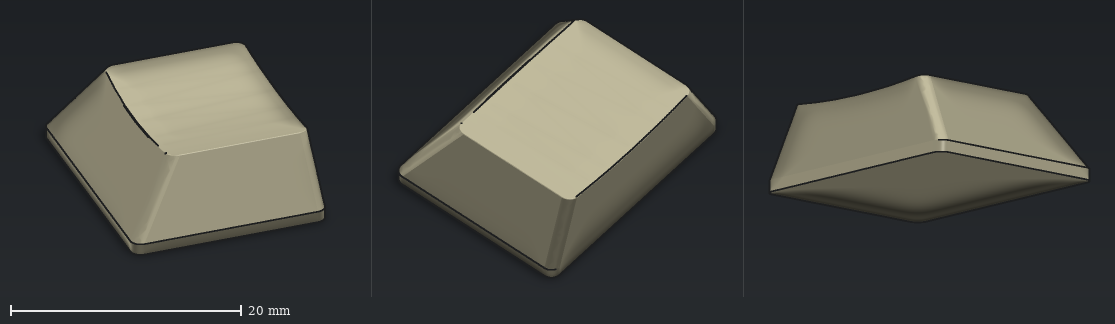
import cadquery as cq

base_width = 22.75
base_depth = 18.0
skirt_height = 1.07
corner_radius = 0.95

total_height = 7.49
side_inset = 3.03
front_inset = 4.45
back_inset = 0.55
top_width = base_width - 2 * side_inset
top_depth = base_depth - front_inset - back_inset
top_center_y = (front_inset - back_inset) / 2

dish_depth = 0.52
dish_radius = ((top_width / 2) ** 2 + dish_depth**2) / (2 * dish_depth)
rim_fillet = 0.1


def rounded_rectangle(width, depth):
    return cq.Sketch().rect(width, depth).vertices().fillet(corner_radius)


def make_skirt():
    return cq.Workplane("XY").placeSketch(rounded_rectangle(base_width, base_depth)).extrude(skirt_height)


def make_tapered_body():
    lower = rounded_rectangle(base_width, base_depth).moved(cq.Location(cq.Vector(0, 0, skirt_height)))
    upper_location = cq.Location(cq.Vector(0, top_center_y, total_height))
    upper = rounded_rectangle(top_width, top_depth).moved(upper_location)
    return cq.Workplane("XY").placeSketch(lower, upper).loft(ruled=True)


def make_dish_cutter():
    axis_height = total_height - dish_depth + dish_radius
    return (
        cq.Workplane("XZ")
        .center(0, axis_height)
        .circle(dish_radius)
        .extrude(base_depth, both=True)
    )


body = make_skirt().union(make_tapered_body()).cut(make_dish_cutter())

result = body.faces(">Z").edges().fillet(rim_fillet)